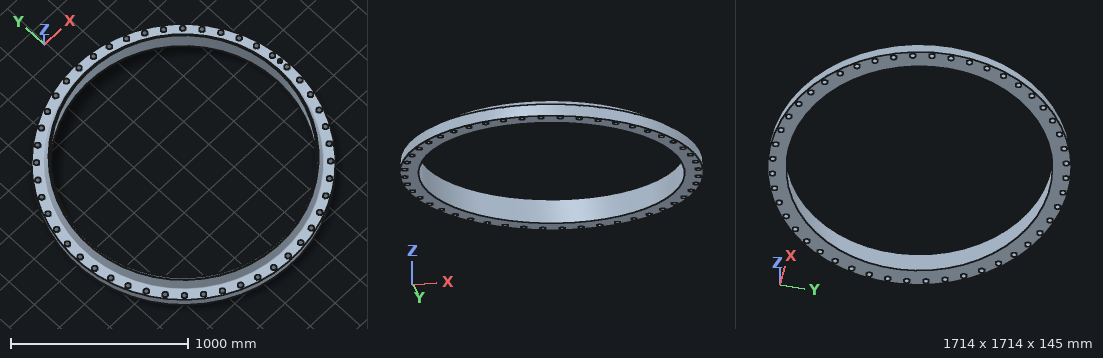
import cadquery as cq

flange_radius = 857.0
bore_radius = 750.0
flange_height = 70.0
total_height = 145.0

hub_root_radius = 788.0
root_fillet = 7.0
lip_radius = 763.0
lip_base_height = 132.0
lip_top_height = 137.0
land_radius = 755.0

bolt_count = 48
bolt_circle_radius = 830.0
bolt_hole_diameter = 33.0

step_bore_diameter = 25.0
step_bore_depth = 25.0
step_pilot_diameter = 14.0
step_pilot_depth = 51.0


def ring_with_hub():
    """Revolve the half section of the flange and its hub about Z."""
    section = [
        (bore_radius, 0),
        (flange_radius, 0),
        (flange_radius, flange_height),
        (hub_root_radius, flange_height),
        (lip_radius, lip_base_height),
        (lip_radius, lip_top_height),
        (land_radius, total_height),
        (bore_radius, total_height),
    ]
    ring = cq.Workplane("XZ").polyline(section).close().revolve(360, (0, 0), (0, 1))
    second_largest_circle = cq.selectors.RadiusNthSelector(-2)
    return ring.edges("%CIRCLE").edges(second_largest_circle).fillet(root_fillet)


def bolt_holes():
    """Through holes evenly spaced on the bolt circle, the first on +X."""
    return (
        cq.Workplane("XY")
        .polarArray(bolt_circle_radius, 0, 360, bolt_count)
        .circle(bolt_hole_diameter / 2)
        .extrude(flange_height)
    )


def blind_bore(diameter, depth):
    """Flat-bottomed bore sunk from the flange face, half a bolt pitch from +X."""
    half_pitch = 360 / bolt_count / 2
    bore = cq.Workplane("XY", origin=(bolt_circle_radius, 0, flange_height))
    bore = bore.circle(diameter / 2).extrude(-depth)
    return bore.rotate((0, 0, 0), (0, 0, 1), half_pitch)


result = (
    ring_with_hub()
    .cut(bolt_holes())
    .cut(blind_bore(step_bore_diameter, step_bore_depth))
    .cut(blind_bore(step_pilot_diameter, step_pilot_depth))
)